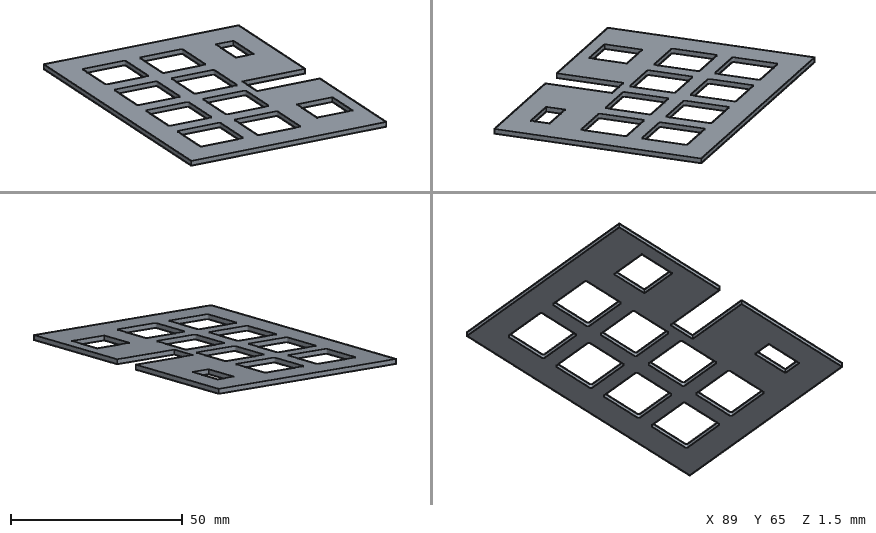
import cadquery as cq

plate_length = 89.0
plate_width = 65.0
plate_thickness = 1.5

key_columns = 4
key_rows = 2
key_pitch = 19.05
key_opening = 14.2
key_corner_radius = 0.5
key_grid_y = -7.8

notch_width = 8.8
notch_depth = 20.9

left_window_size = (12.1, 5.9)
left_window_center = (-28.2, 22.2)
right_window_size = (12.1, 11.8)
right_window_center = (25.5, 22.4)


def through_cutter(size, center):
    """Rectangular block spanning the plate thickness, starting at Z = 0."""
    return (
        cq.Workplane("XY")
        .center(*center)
        .rect(*size)
        .extrude(plate_thickness)
    )


plate = cq.Workplane("XY").rect(plate_length, plate_width).extrude(plate_thickness)

key_cutters = (
    cq.Workplane("XY")
    .center(0, key_grid_y)
    .rarray(key_pitch, key_pitch, key_columns, key_rows)
    .rect(key_opening, key_opening)
    .extrude(plate_thickness)
    .edges("|Z")
    .fillet(key_corner_radius)
)

notch_center = (0, (plate_width - notch_depth) / 2)
notch_cutter = through_cutter((notch_width, notch_depth), notch_center)

result = (
    plate
    .cut(key_cutters)
    .cut(notch_cutter)
    .cut(through_cutter(left_window_size, left_window_center))
    .cut(through_cutter(right_window_size, right_window_center))
)